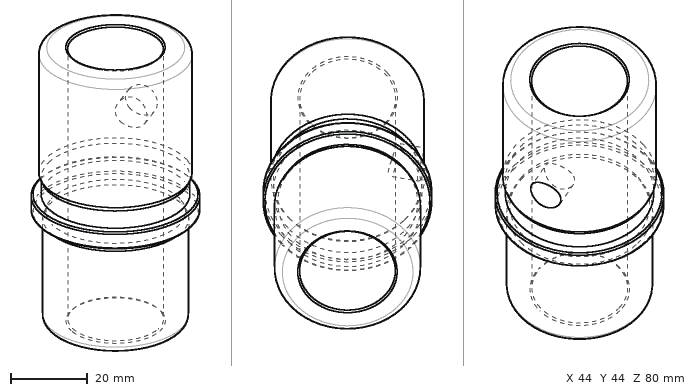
import cadquery as cq

total_height = 80.0
upper_diameter = 40.0
lower_diameter = 38.1
flange_diameter = 44.0
groove_diameter = 38.8
bore_diameter = 25.0

flange_bottom = 32.0
flange_top = 37.0
groove_top = 42.0
groove_chamfer_height = 1.3

end_radius = 2.0
flange_chamfer = 0.5
bore_chamfer = 0.5

undercut_height = 2.0
undercut_depth = 0.8

side_hole_diameter = 8.8
side_hole_height = 55.0


def outer_body():
    """Revolve the stepped profile about Z."""
    upper_radius = upper_diameter / 2
    lower_radius = lower_diameter / 2
    flange_radius = flange_diameter / 2
    groove_radius = groove_diameter / 2
    neck_radius = lower_radius - undercut_depth
    undercut_bottom = flange_bottom - undercut_height

    profile = (
        cq.Workplane("XZ")
        .lineTo(lower_radius - end_radius, 0)
        .radiusArc((lower_radius, end_radius), -end_radius)
        .lineTo(lower_radius, undercut_bottom)
    )
    undercut_radius = (undercut_depth**2 + undercut_height**2) / (2 * undercut_depth)
    profile = (
        profile.radiusArc((neck_radius, flange_bottom), undercut_radius)
        .lineTo(flange_radius - flange_chamfer, flange_bottom)
        .lineTo(flange_radius, flange_bottom + flange_chamfer)
        .lineTo(flange_radius, flange_top - flange_chamfer)
        .lineTo(flange_radius - flange_chamfer, flange_top)
        .lineTo(groove_radius, flange_top)
        .lineTo(groove_radius, groove_top)
        .lineTo(upper_radius, groove_top + groove_chamfer_height)
        .lineTo(upper_radius, total_height - end_radius)
        .radiusArc((upper_radius - end_radius, total_height), -end_radius)
        .lineTo(0, total_height)
        .close()
    )
    return profile.revolve(360, (0, 0, 0), (0, 1, 0))


def cut_bore(body):
    """Cut the through bore and chamfer both of its mouths."""
    bore = cq.Workplane("XY").circle(bore_diameter / 2).extrude(total_height)
    bored = body.cut(bore)
    mouth_edges = cq.selectors.RadiusNthSelector(0)
    bored = bored.faces(">Z").edges(mouth_edges).chamfer(bore_chamfer)
    return bored.faces("<Z").edges(mouth_edges).chamfer(bore_chamfer)


def cut_side_hole(body):
    """Drill from the axis out through the +Y wall."""
    drill = (
        cq.Workplane("XZ")
        .center(0, side_hole_height)
        .circle(side_hole_diameter / 2)
        .extrude(-upper_diameter)
    )
    return body.cut(drill)


result = cut_side_hole(cut_bore(outer_body()))